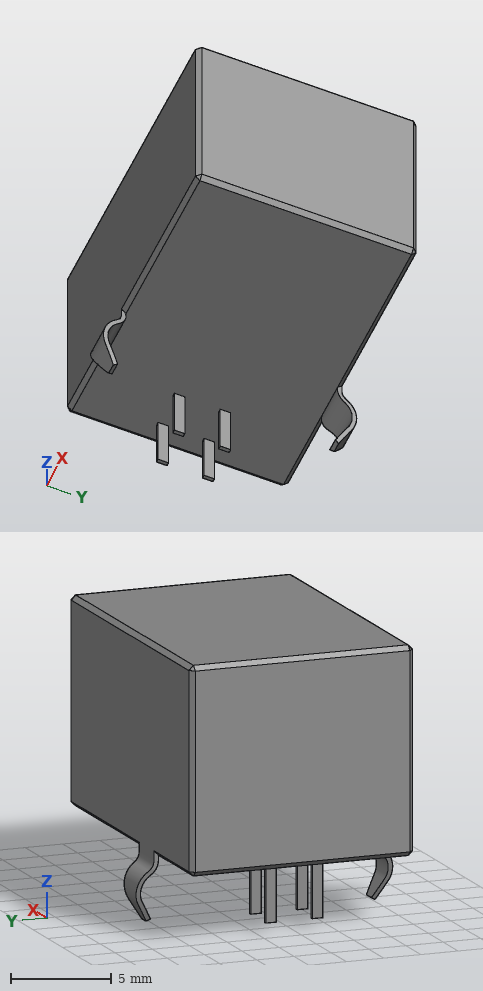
import cadquery as cq
import math

body_length = 16.3
body_width = 12.0
body_height = 10.8
body_chamfer = 0.25

pin_thickness = 0.2
pin_width = 0.57
pin_length = 3.0
first_pin_x = -6.95
pin_pitch_x = 2.0
pin_pitch_y = 2.5
pin_places = [
    (first_pin_x + column * pin_pitch_x, side * pin_pitch_y / 2)
    for column in (0, 1)
    for side in (-1, 1)
]

clip_x = -2.23
clip_width = 2.0
clip_thickness = 0.25
clip_root_height = 0.98
clip_depth = 3.52
clip_span = 13.75
neck_radius = 0.65
bulge_radius = 1.3
bulge_center_z = -1.87
neck_angle = math.radians(52)
tail_angle = math.radians(30)

taper_start_z = -0.72
taper_mid_z = -2.28
taper_mid_width = 1.4
tip_width = 0.59
tip_radius = 0.13


def polar(center, radius, angle):
    """Point at an angle from +Y, in the YZ plane."""
    return (center[0] + radius * math.cos(angle), center[1] + radius * math.sin(angle))


def make_body():
    block = cq.Workplane("XY").box(body_length, body_width, body_height, centered=(True, True, False))
    return block.edges().chamfer(body_chamfer)


def make_pins():
    pins = cq.Workplane("XY").workplane(offset=-pin_length).pushPoints(pin_places)
    return pins.rect(pin_thickness, pin_width).extrude(pin_length + body_chamfer)


def make_clip_strip():
    """Full-width bent strip of the +Y clip: root, neck bend, ramp, bulge and inward tail."""
    outer_y = body_width / 2
    inner_y = outer_y - clip_thickness
    bulge_center = (clip_span / 2 - bulge_radius, bulge_center_z)
    inner_bulge_radius = bulge_radius - clip_thickness
    inner_neck_radius = neck_radius + clip_thickness

    ramp_end = polar(bulge_center, bulge_radius, neck_angle)
    neck_end_y = outer_y + neck_radius * (1 - math.cos(neck_angle))
    ramp_drop = (ramp_end[0] - neck_end_y) / math.tan(neck_angle)
    neck_z = ramp_end[1] + ramp_drop + neck_radius * math.sin(neck_angle)
    neck_center = (outer_y + neck_radius, neck_z)
    neck_turn = math.pi + neck_angle
    neck_middle = math.pi + neck_angle / 2
    bulge_middle = (neck_angle - tail_angle) / 2

    outer_tail_start = polar(bulge_center, bulge_radius, -tail_angle)
    inner_tail_start = polar(bulge_center, inner_bulge_radius, -tail_angle)
    tail_drop = outer_tail_start[1] + clip_depth
    tail_run = tail_drop * math.tan(tail_angle)
    outer_tip = (outer_tail_start[0] - tail_run, outer_tail_start[1] - tail_drop)
    inner_tip = (inner_tail_start[0] - tail_run, inner_tail_start[1] - tail_drop)

    profile = (
        cq.Workplane("YZ", origin=(clip_x, 0, 0))
        .moveTo(outer_y, clip_root_height)
        .lineTo(outer_y, neck_z)
        .threePointArc(polar(neck_center, neck_radius, neck_middle), polar(neck_center, neck_radius, neck_turn))
        .lineTo(*ramp_end)
        .threePointArc(polar(bulge_center, bulge_radius, bulge_middle), outer_tail_start)
        .lineTo(*outer_tip)
        .lineTo(*inner_tip)
        .lineTo(*inner_tail_start)
        .threePointArc(
            polar(bulge_center, inner_bulge_radius, bulge_middle),
            polar(bulge_center, inner_bulge_radius, neck_angle),
        )
        .lineTo(*polar(neck_center, inner_neck_radius, neck_turn))
        .threePointArc(polar(neck_center, inner_neck_radius, neck_middle), (inner_y, neck_z))
        .lineTo(inner_y, clip_root_height)
        .close()
    )
    return profile.extrude(clip_width / 2, both=True)


def make_clip_outline():
    """Solid with the tapered outline of the clip, running through the whole span in Y."""
    half_width = clip_width / 2
    half_middle = taper_mid_width / 2
    half_tip = tip_width / 2
    outline = (
        cq.Workplane("XZ", origin=(clip_x, 0, 0))
        .moveTo(-half_width, clip_root_height)
        .lineTo(half_width, clip_root_height)
        .lineTo(half_width, taper_start_z)
        .threePointArc((half_middle, taper_mid_z), (half_tip, -clip_depth))
        .lineTo(-half_tip, -clip_depth)
        .threePointArc((-half_middle, taper_mid_z), (-half_width, taper_start_z))
        .close()
        .extrude(clip_span, both=True)
    )
    return outline.edges("|Y").edges("<Z").fillet(tip_radius)


def make_clips():
    clip = make_clip_strip().intersect(make_clip_outline())
    return clip.union(clip.mirror("XZ"))


result = make_body().union(make_pins()).union(make_clips())